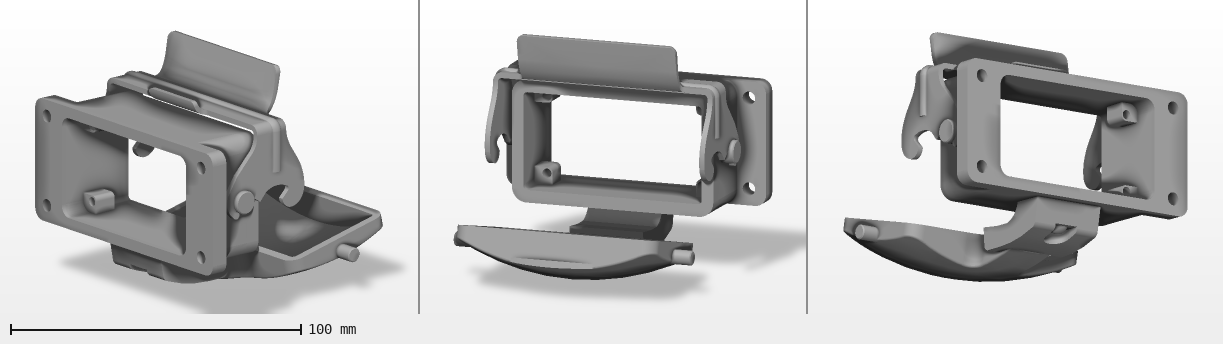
import cadquery as cq
import math


flange_width = 95.55
flange_height = 43.9
flange_corner = 4.0
flange_rim_depth = 1.9
flange_depth = 6.1
draft = 0.5
shell_width = 74.5
shell_corner = 5.5
shell_draft_end = 24.3
shell_depth = 29.4
shell_root_fillet = 0.6
edge_search = 0.1
opening_width = 66.9
opening_height = 35.8
opening_corner = 3.8
opening_back_corner = 1.7
opening_draft = 1.3
flange_hole_x = 41.5
flange_hole_z = 16.1
flange_hole_diameter = 4.6
post_inner_x = 26.5
post_inner_z = 11.4
post_front = 9.5
post_back = 17.9
post_round = 1.7
post_embed = 1.0
post_hole_x = 28.5
post_hole_z = 13.6
post_hole_diameter = 3.25
stud_y = 19.7
stud_radius = 4.1
stud_end_x = 42.2
stud_chamfer = 0.4

arm_width = 27.1
arm_root_z = -21.0
notch_width = 9.4
notch_centre_y = 11.6
notch_ceiling_z = -29.9
notch_height = 7.6
dome_radius = 3.8
dome_height = 2.2

strap_thickness = 1.9
strap_top_z = 25.8
strap_half_width = 40.4
strap_bend = 3.25
band_bottom_z = -9.6
band_length = 47.8
strap_front_y = 26.1
strap_back_y = 39.1
rib_y = 34.9
rib_width = 3.7
rib_height = 0.9
rib_end_z = 8.1
thumb_width = 58.3
thumb_corner = 2.7
thumb_top_z = 41.5
thumb_tip_y = 44.5
tab_width = 24.3
tab_corner = 1.7
tab_top_z = 29.0
root_flare = 1.7

lid_tilt = 13.1
lid_hinge_y = 44.8
lid_hinge_z = -27.4
lid_width = 73.8
lid_length = 43.4
lid_corner = 5.0
lid_depth = 15.7
lid_radius = 81.2
lid_wall = 2.9
pocket_side_wall = 3.1
pocket_end_wall = 3.1
pocket_corner = 1.4
lid_edge_fillet = 0.8
lip_reach = 2.2
lip_half_width = 15.1
lip_top_depth = 9.65
lid_pin_radius = 2.6
lid_pin_end_x = 43.6
lid_pin_depth = 5.0
lid_pin_chamfer = 0.4
neck_width = 17.6
neck_length = 20.1
neck_fillet = 4.4


def front_plane(y):
    """Workplane facing +Y at the given depth, with local X = -X and local Y = Z."""
    return cq.Workplane(cq.Plane((0, y, 0), (-1, 0, 0), (0, 1, 0)))


def rounded_block(y, width, height, corner, depth, taper=0):
    outline = front_plane(y).sketch().rect(width, height).vertices().fillet(corner).finalize()
    return outline.extrude(depth, taper=taper)


def x_cylinder(radius, half_length, y, z, chamfer):
    bar = cq.Workplane("YZ", origin=(-half_length, y, z)).circle(radius).extrude(2 * half_length)
    return bar.faces("<X or >X").chamfer(chamfer)


def extrude_across(outline, width):
    """Extrude a closed YZ outline symmetrically about X = 0."""
    return outline.close().extrude(width).translate((-width / 2, 0, 0))


def drafted_block(width, corner):
    """Block as tall as the flange, drafted behind the flange rim and straight near the open end."""
    drafted_length = shell_draft_end - flange_rim_depth
    shrink = 2 * drafted_length * math.tan(math.radians(draft))
    drafted = rounded_block(flange_rim_depth, width, flange_height, corner, drafted_length, draft)
    end = rounded_block(
        shell_draft_end,
        width - shrink,
        flange_height - shrink,
        corner - shrink / 2,
        shell_depth - shell_draft_end,
    )
    return drafted.union(end)


def make_shell():
    """Flange and shell; an oversize plate carries the root fillet and is trimmed to the flange outline."""
    plate = front_plane(flange_rim_depth).rect(2 * flange_width, 2 * flange_height)
    plate = plate.extrude(flange_depth - flange_rim_depth)
    shell = plate.union(drafted_block(shell_width, shell_corner))
    root_zone = cq.selectors.BoxSelector(
        (-shell_width / 2, flange_depth - edge_search, -flange_height / 2),
        (shell_width / 2, flange_depth + edge_search, flange_height / 2),
    )
    shell = shell.edges(root_zone).fillet(shell_root_fillet)
    rim = rounded_block(0, flange_width, flange_height, flange_corner, flange_rim_depth)
    return shell.intersect(drafted_block(flange_width, flange_corner)).union(rim)


def make_opening():
    """Through opening, straight inside the flange rim, narrowing behind it, sharper behind the posts."""
    rim = rounded_block(0, opening_width, opening_height, opening_corner, flange_rim_depth)
    narrowing = rounded_block(
        flange_rim_depth,
        opening_width,
        opening_height,
        opening_corner,
        post_back - flange_rim_depth,
        opening_draft,
    )
    shrink = 2 * (post_back - flange_rim_depth) * math.tan(math.radians(opening_draft))
    back = rounded_block(
        post_back,
        opening_width - shrink,
        opening_height - shrink,
        opening_back_corner,
        shell_depth - post_back,
        opening_draft,
    )
    return rim.union(narrowing).union(back)


def make_posts():
    """Screw posts in the four corners of the opening."""
    post_length = post_back - post_front
    size_x = opening_width / 2 + post_embed - post_inner_x
    size_z = opening_height / 2 + post_embed - post_inner_z
    posts = cq.Workplane()
    for side in (-1, 1):
        for level in (-1, 1):
            post = (
                cq.Workplane()
                .box(size_x, post_length, size_z)
                .translate(
                    (
                        side * (post_inner_x + size_x / 2),
                        post_front + post_length / 2,
                        level * (post_inner_z + size_z / 2),
                    )
                )
            )
            inner_edge = cq.selectors.NearestToPointSelector(
                (side * post_inner_x, post_front + post_length / 2, level * post_inner_z)
            )
            posts = posts.add(post.edges(inner_edge).fillet(post_round))
    bores = (
        front_plane(post_front)
        .rect(2 * post_hole_x, 2 * post_hole_z, forConstruction=True)
        .vertices()
        .circle(post_hole_diameter / 2)
        .extrude(post_length)
    )
    return posts.combine().cut(bores)


def make_arm():
    """Curved hinge arm below the shell, notched for the hinge screw."""
    outline = (
        cq.Workplane("YZ")
        .moveTo(16.3, arm_root_z)
        .lineTo(16.3, -22.1)
        .threePointArc((18.25, -25.7), (22.5, -28.2))
        .lineTo(27.8, -28.2)
        .lineTo(35.6, -27.3)
        .lineTo(35.2, -34.3)
        .threePointArc((34.6, -35.3), (33.4, -35.8))
        .lineTo(26.8, -35.8)
        .tangentArcPoint((8.3, -32.4), relative=False)
        .threePointArc((7.1, -31.7), (6.4, -30.6))
        .lineTo(4.8, -22.1)
        .lineTo(4.8, arm_root_z)
    )
    arm = extrude_across(outline, arm_width)
    notch_ceiling = cq.Workplane("XY", origin=(0, notch_centre_y, notch_ceiling_z))
    notch_round = notch_ceiling.circle(notch_width / 2).extrude(-notch_height)
    notch_mouth = notch_ceiling.center(0, -notch_centre_y / 2).rect(notch_width, notch_centre_y)
    notch_mouth = notch_mouth.extrude(-notch_height)
    dome = cq.Workplane().sphere(dome_radius)
    dome = dome.translate((0, notch_centre_y, notch_ceiling_z + dome_radius - dome_height))
    return arm.cut(notch_round).cut(notch_mouth).union(dome)


def make_housing():
    flange_holes = (
        front_plane(0)
        .rect(2 * flange_hole_x, 2 * flange_hole_z, forConstruction=True)
        .vertices()
        .circle(flange_hole_diameter / 2)
        .extrude(flange_depth)
    )
    opening = make_opening()
    studs = x_cylinder(stud_radius, stud_end_x, stud_y, 0, stud_chamfer).cut(opening)
    arm = make_arm().cut(place_lid(make_neck_block()))
    shell = make_shell().cut(opening).cut(flange_holes)
    return shell.union(studs).union(make_posts()).union(arm)


def make_strap():
    """U-shaped strap trimmed to the outline of its hooked cheeks."""
    band_height = strap_top_z - band_bottom_z
    inner_half_width = strap_half_width - strap_thickness
    outer = (
        cq.Workplane()
        .box(2 * strap_half_width, band_length, band_height, centered=(True, False, False))
        .edges("|Y and >Z")
        .fillet(strap_bend)
    )
    inner = (
        cq.Workplane()
        .box(2 * inner_half_width, band_length, band_height - strap_thickness, centered=(True, False, False))
        .edges("|Y and >Z")
        .fillet(strap_bend - strap_thickness)
    )
    band = outer.cut(inner).translate((0, 0, band_bottom_z))
    outline = (
        cq.Workplane("YZ")
        .moveTo(strap_front_y, strap_top_z)
        .lineTo(strap_back_y, strap_top_z)
        .lineTo(strap_back_y, 22.55)
        .spline([(39.75, 19.0), (41.5, 15.5), (44.2, 11.3), (46.7, 5.4), (47.0, -0.8)], includeCurrent=True)
        .tangentArcPoint((41.85, -5.7), relative=False)
        .tangentArcPoint((37.5, -2.2), relative=False)
        .lineTo(39.8, 0.3)
        .threePointArc((40.1, 1.3), (39.4, 2.2))
        .threePointArc((35.2, 3.2), (30.0, 1.5))
        .lineTo(27.4, -1.4)
        .lineTo(stud_y, 3.8)
        .lineTo(stud_y, 0)
        .lineTo(18.1, -4.0)
        .threePointArc((17.1, -5.7), (15.6, -5.2))
        .threePointArc((12.7, -0.2), (14.0, 4.7))
        .lineTo(17.1, 9.5)
        .lineTo(23.1, 15.8)
        .threePointArc((25.4, 18.9), (strap_front_y, 22.55))
    )
    cheeks = extrude_across(outline, flange_width)
    socket = cq.Workplane("YZ", origin=(0, stud_y, 0)).circle(stud_radius).extrude(flange_width, both=True)
    return band.intersect(cheeks).cut(socket)


def make_rib():
    """Rounded stiffening bead that runs over the strap and down both cheeks."""
    flat = strap_half_width - strap_bend
    bend_centre_z = strap_top_z - strap_bend
    bend_mid = strap_bend * math.sqrt(0.5)
    path = (
        cq.Workplane("XZ", origin=(0, rib_y, 0))
        .moveTo(-strap_half_width, rib_end_z)
        .lineTo(-strap_half_width, bend_centre_z)
        .threePointArc((-flat - bend_mid, bend_centre_z + bend_mid), (-flat, strap_top_z))
        .lineTo(flat, strap_top_z)
        .threePointArc((flat + bend_mid, bend_centre_z + bend_mid), (strap_half_width, bend_centre_z))
        .lineTo(strap_half_width, rib_end_z)
    )
    root = strap_thickness / 2
    section = (
        cq.Workplane("XY", origin=(-strap_half_width, rib_y, rib_end_z))
        .moveTo(root, -rib_width / 2)
        .lineTo(0, -rib_width / 2)
        .threePointArc((-rib_height, 0), (0, rib_width / 2))
        .lineTo(root, rib_width / 2)
        .close()
    )
    return section.sweep(path)


def tab_mask(width, corner, top_z):
    """Front outline of a bent tab, with rounded top corners."""
    mask = cq.Workplane().box(width, flange_width, top_z, centered=(True, True, False))
    return mask.edges("|Y and >Z").fillet(corner)


def root_flares(width, edge_y, outward):
    """Upright prisms with the plan of the concave fillets between a tab and the edge of the strap."""
    flares = cq.Workplane()
    for side in (-1, 1):
        tip = side * width / 2
        flare = (
            cq.Workplane("XY")
            .moveTo(tip, edge_y)
            .lineTo(tip + side * root_flare, edge_y)
            .radiusArc((tip, edge_y + outward * root_flare), side * outward * root_flare)
            .close()
            .extrude(thumb_top_z)
        )
        flares = flares.add(flare)
    return flares.combine()


def make_thumb_plate():
    """Tall bent plate behind the strap, pushed to open the lever."""
    bottom_z = strap_top_z - strap_thickness
    outline = (
        cq.Workplane("YZ")
        .moveTo(46.2, 41.2)
        .lineTo(thumb_tip_y, thumb_top_z)
        .spline([(43.4, 36.0), (42.2, 30.6), (41.0, 27.9), (strap_back_y, strap_top_z)], includeCurrent=True)
        .lineTo(strap_back_y - 1, strap_top_z)
        .lineTo(strap_back_y - 1, bottom_z)
        .lineTo(39.7, 24.5)
        .spline([(42.9, 28.2), (44.5, 32.1), (45.5, 36.7), (46.2, 41.2)], includeCurrent=True)
    )
    sheet = extrude_across(outline, thumb_width + 2 * root_flare)
    plate = sheet.intersect(tab_mask(thumb_width, thumb_corner, thumb_top_z))
    return plate.union(sheet.intersect(root_flares(thumb_width, strap_back_y, 1)))


def make_front_tab():
    """Short tab curled up in front of the strap."""
    bottom_z = strap_top_z - strap_thickness
    outline = (
        cq.Workplane("YZ")
        .moveTo(strap_front_y + 1, strap_top_z)
        .lineTo(strap_front_y, strap_top_z)
        .threePointArc((24.1, 26.6), (22.9, tab_top_z))
        .lineTo(21.1, tab_top_z)
        .threePointArc((22.55, 25.6), (strap_front_y, bottom_z))
        .lineTo(strap_front_y + 1, bottom_z)
    )
    sheet = extrude_across(outline, tab_width + 2 * root_flare)
    tab = sheet.intersect(tab_mask(tab_width, tab_corner, tab_top_z))
    return tab.union(sheet.intersect(root_flares(tab_width, strap_front_y, -1)))


def make_lever():
    return make_strap().union(make_rib()).union(make_thumb_plate()).union(make_front_tab())


def place_lid(level_part):
    tilted = level_part.rotate((0, 0, 0), (1, 0, 0), lid_tilt)
    return tilted.translate((0, lid_hinge_y, lid_hinge_z))


def lid_sphere(radius):
    ball = cq.Workplane().sphere(radius).rotate((0, 0, 0), (0, 0, 1), 90)
    return ball.translate((0, lid_length / 2, lid_radius - lid_depth))


def make_neck_block():
    """Straight block of the lid neck, which is also the shape of its slot in the hinge arm."""
    block = cq.Workplane().box(neck_width, neck_length, lid_depth)
    return block.translate((0, -neck_length / 2, -lid_depth / 2))


def make_lid():
    middle_y = lid_length / 2
    lid_top = cq.Workplane().center(0, middle_y)
    tray = lid_top.rect(lid_width, lid_length).extrude(-lid_depth).edges("|Z").fillet(lid_corner)
    blank = tray.union(make_neck_block())
    for side in (-1, 1):
        neck_root = cq.selectors.NearestToPointSelector((side * neck_width / 2, 0, -lid_depth / 2))
        blank = blank.edges(neck_root).fillet(neck_fillet)
    blank = blank.intersect(lid_sphere(lid_radius))
    blank = blank.faces("<Z").edges().fillet(lid_edge_fillet)

    lip = (
        cq.Workplane("XY", origin=(0, 0, -lip_top_depth))
        .moveTo(-lip_half_width, lid_length)
        .threePointArc((0, lid_length + lip_reach), (lip_half_width, lid_length))
        .lineTo(lip_half_width, lid_length - lid_wall)
        .lineTo(-lip_half_width, lid_length - lid_wall)
        .close()
        .extrude(-lid_depth)
        .intersect(lid_sphere(lid_radius))
    )
    pocket = (
        lid_top.rect(lid_width - 2 * pocket_side_wall, lid_length - 2 * pocket_end_wall)
        .extrude(-lid_depth)
        .edges("|Z")
        .fillet(pocket_corner)
        .intersect(lid_sphere(lid_radius - lid_wall))
    )
    pins = x_cylinder(lid_pin_radius, lid_pin_end_x, middle_y, -lid_pin_depth, lid_pin_chamfer)
    return place_lid(blank.union(lip).union(pins).cut(pocket))


housing = make_housing()
lever = make_lever()
lid = make_lid()

result = cq.Compound.makeCompound([housing.solids().val(), lever.solids().val(), lid.solids().val()])